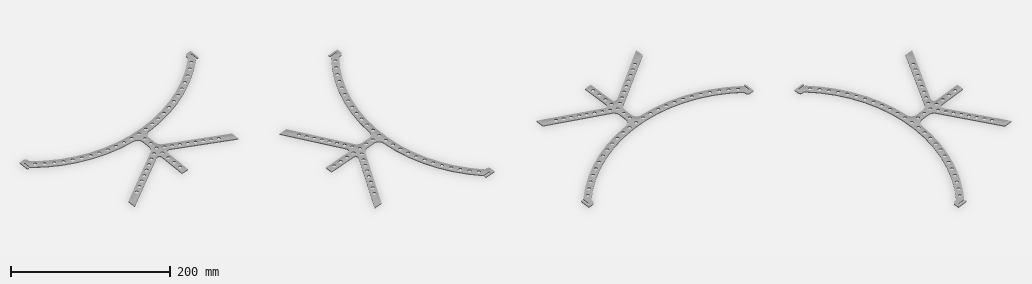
import cadquery as cq
import math

length = 289.0
thickness = 2.0
strip_width = 10.0
half_width = strip_width / 2
hole_diameter = 5.0

arc_radius = 205.0
arc_hole_x = 63.3
arc_center_x = arc_hole_x - arc_radius
outer_radius = arc_radius + half_width
inner_radius = arc_radius - half_width
arc_holes_per_side = 12
arc_hole_step = 3.34

stem_end_x = 150.0
stem_hole_span = 77.5
stem_hole_count = 8
stem_hole_pitch = stem_hole_span / (stem_hole_count - 1)

branch_x = arc_hole_x + 3 * stem_hole_pitch
branch_angle = math.radians(60)
branch_end_y = 87.5
branch_hole_span = 80.0
branch_hole_count = 8
branch_hole_pitch = branch_hole_span / branch_hole_count

hook_length = 14.7
hook_bottom_y = 134.0
hook_corner_radius = 3.8
slot_start_x = 4.5
slot_width = 2.0
hook_lip = 2.3
slot_top_y = length / 2 - hook_lip
slot_bottom_y = slot_top_y - slot_width

arm_fillet = 8.7
branch_outer_fillet = 10.0
branch_crotch_fillet = 4.0


def arc_x(radius, y):
    """X of the point at height y on an arc of the curved arm."""
    return arc_center_x + math.sqrt(radius**2 - y**2)


def branch_edge_x(y, side):
    """X on the left (-1) or right (+1) edge of the upper branch at height y."""
    center = branch_x + y / math.tan(branch_angle)
    return center + side * half_width / math.sin(branch_angle)


def make_arm():
    inner_tip_x = arc_x(inner_radius, hook_bottom_y)
    outer_tip_x = arc_x(outer_radius, slot_bottom_y)
    return (
        cq.Workplane("XY")
        .moveTo(inner_tip_x, hook_bottom_y)
        .threePointArc((arc_center_x + inner_radius, 0), (inner_tip_x, -hook_bottom_y))
        .lineTo(outer_tip_x, -slot_bottom_y)
        .threePointArc((arc_center_x + outer_radius, 0), (outer_tip_x, slot_bottom_y))
        .close()
        .extrude(thickness)
    )


def make_hook(side):
    outer_tip_x = arc_x(outer_radius, slot_bottom_y)
    inner_tip_x = arc_x(inner_radius, hook_bottom_y)
    outline = [
        (0, hook_bottom_y),
        (0, length / 2),
        (hook_length, length / 2),
        (hook_length, slot_top_y),
        (slot_start_x, slot_top_y),
        (slot_start_x, slot_bottom_y),
        (outer_tip_x, slot_bottom_y),
        (inner_tip_x, hook_bottom_y),
    ]
    points = [(x, side * y) for x, y in outline]
    hook = cq.Workplane("XY").polyline(points).close().extrude(thickness)
    return fillet_corner(hook, 0, side * hook_bottom_y, hook_corner_radius)


def make_stem():
    stem_length = stem_end_x - arc_hole_x
    return (
        cq.Workplane("XY")
        .center(arc_hole_x + stem_length / 2, 0)
        .rect(stem_length, strip_width)
        .extrude(thickness)
    )


def make_branch(side):
    points = [
        (branch_edge_x(0, -1), 0),
        (branch_edge_x(branch_end_y, -1), side * branch_end_y),
        (branch_edge_x(branch_end_y, 1), side * branch_end_y),
        (branch_edge_x(0, 1), 0),
    ]
    return cq.Workplane("XY").polyline(points).close().extrude(thickness)


def fillet_corner(body, x, y, radius):
    """Round the vertical edge standing at (x, y)."""
    corner = cq.selectors.NearestToPointSelector((x, y, thickness / 2))
    return body.edges("|Z").edges(corner).fillet(radius)


def hole_points():
    points = [(arc_hole_x + i * stem_hole_pitch, 0) for i in range(stem_hole_count)]
    for side in (-1, 1):
        for i in range(1, arc_holes_per_side + 1):
            angle = math.radians(i * arc_hole_step)
            x = arc_center_x + arc_radius * math.cos(angle)
            points.append((x, side * arc_radius * math.sin(angle)))
        for i in range(1, branch_hole_count + 1):
            distance = i * branch_hole_pitch
            x = branch_x + distance * math.cos(branch_angle)
            points.append((x, side * distance * math.sin(branch_angle)))
    return points


body = make_arm().union(make_stem())
for side in (-1, 1):
    body = body.union(make_branch(side)).union(make_hook(side))

for side in (-1, 1):
    y = side * half_width
    body = fillet_corner(body, arc_x(outer_radius, half_width), y, arm_fillet)
    body = fillet_corner(body, branch_edge_x(half_width, -1), y, branch_outer_fillet)
    body = fillet_corner(body, branch_edge_x(half_width, 1), y, branch_crotch_fillet)

holes = (
    cq.Workplane("XY")
    .pushPoints(hole_points())
    .circle(hole_diameter / 2)
    .extrude(thickness)
)
result = body.cut(holes)